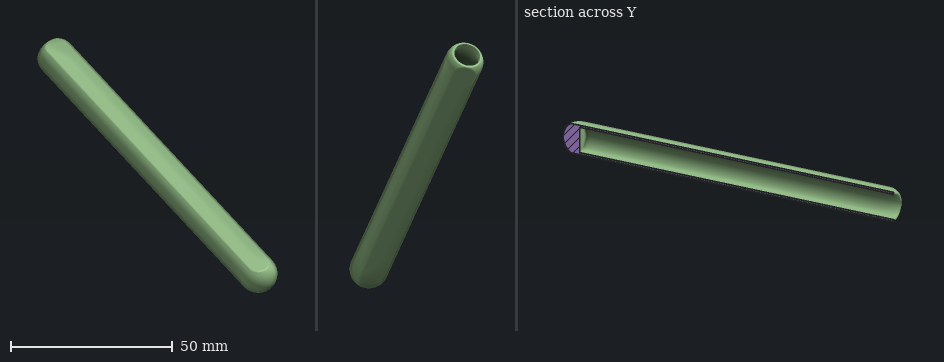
import cadquery as cq
import math

length = 117.4
outer_diameter = 12.0
height_across_flats = 10.0
bore_diameter = 8.3
mouth_round_length = 3.5
mouth_face_diameter = 9.4
rim_edge_radius = 0.5
flat_edge_radius = 1.0

outer_radius = outer_diameter / 2
tip_start = length - outer_radius
bore_depth = tip_start


def mouth_arc_middle():
    """Middle point of the mouth arc, which runs tangent into the outer cylinder."""
    radial_drop = (outer_diameter - mouth_face_diameter) / 2
    arc_radius = (mouth_round_length**2 + radial_drop**2) / (2 * radial_drop)
    half_angle = math.asin(mouth_round_length / arc_radius) / 2
    return (
        mouth_round_length - arc_radius * math.sin(half_angle),
        outer_radius - arc_radius * (1 - math.cos(half_angle)),
    )


def round_body():
    """Solid of revolution about X with a rounded mouth and a hemispherical tip."""
    diagonal = outer_radius * math.sqrt(0.5)
    profile = (
        cq.Workplane("XY")
        .lineTo(0, mouth_face_diameter / 2)
        .threePointArc(mouth_arc_middle(), (mouth_round_length, outer_radius))
        .lineTo(tip_start, outer_radius)
        .threePointArc((tip_start + diagonal, diagonal), (length, 0))
        .close()
    )
    return profile.revolve(360, (0, 0, 0), (1, 0, 0))


def flats_envelope():
    """Slab whose top and bottom faces form the two parallel flats."""
    return cq.Workplane("XY").box(
        length, outer_diameter, height_across_flats, centered=(False, True, True)
    )


def bore():
    """Blind round bore entering from the mouth."""
    return cq.Workplane("YZ").circle(bore_diameter / 2).extrude(bore_depth)


def soften_edges(body):
    """Round the outlines of both flats, then the outer rim of the mouth."""
    body = body.faces("<Z or >Z").edges().fillet(flat_edge_radius)
    return body.faces("<X").edges().fillet(rim_edge_radius)


flatted_body = round_body().intersect(flats_envelope())
result = soften_edges(flatted_body).cut(bore())